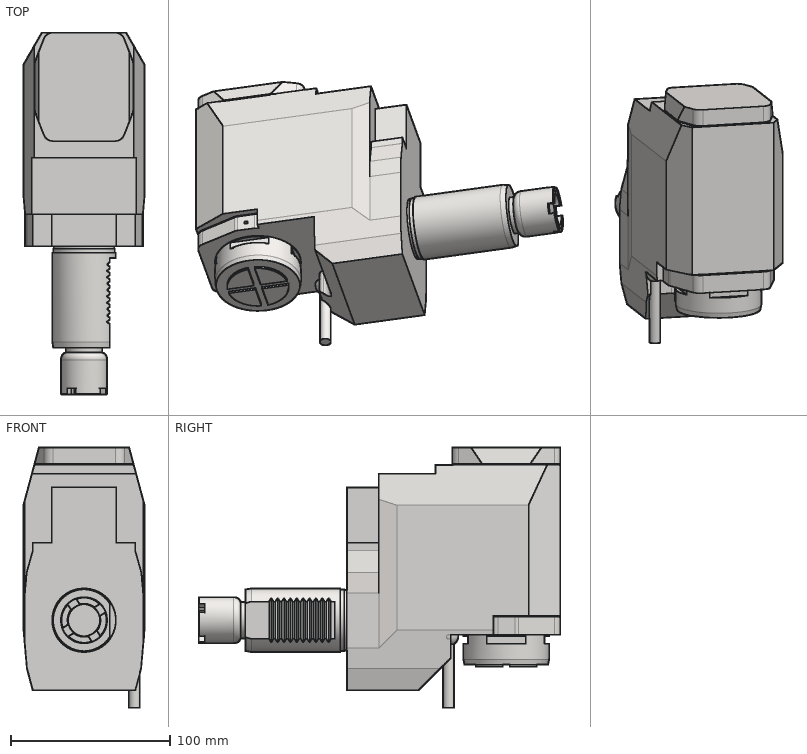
import cadquery as cq
import math


housing_half_width = 38.0
flank_angle = math.radians(15)
lower_flank_angle = math.radians(5)
top_z = 97.5
front_top_z = 92.0
shoulder_z = 72.3
lower_break_z = -6.0
lower_flank_z = -30.2
bottom_z = -44.0

rear_y = 134.0
step_y = 55.5
front_y = 20.0
rear_bottom_z = -9.25
rear_chamfer_angle = math.radians(30)
rear_chamfer_length = 20.0
front_taper_start_y = 31.3
underside_chamfer_y = 45.0

nose_half_width = housing_half_width - (front_taper_start_y - front_y) * math.tan(lower_flank_angle)
nose_top_z = 48.5
nose_top_half_width = 32.0
nose_straight_z = front_taper_start_y - front_y - lower_break_z
nose_block_width = 40.5
nose_block_top_z = 83.4

spindle_y = 100.0
cap_half_length = rear_y - spindle_y
cap_half_width = 34.4
cap_end_half_width = 23.7
cap_flat_half_length = 6.6
cap_end_radius = 6.0
cap_side_radius = 6.0
cap_top_z = 108.5
seat_gap = 0.6
seat_inset = 0.5
foot_top_z = 2.7
foot_front_y = 92.0
foot_hole_diameter = 2.1
foot_hole_depth = 5.0
foot_hole_z = -3.8

spindle_ring_diameter = 54.0
spindle_flat_width = 48.0
spindle_flat_top_z = -9.9
spindle_flat_bottom_z = -14.7
spindle_ring_bottom_z = -27.8
spindle_ring_chamfer_height = 3.4
spindle_ring_chamfer = 0.7
spindle_face_diameter = 38.7
spindle_tip_z = -29.2
spindle_slot_width = 4.2

tube_x = 31.5
tube_y = 63.75
tube_diameter = 7.0
tube_bottom_z = -55.0
ball_radius = 6.3
ball_z = -9.8
lug_end_y = 65.2
lug_round_radius = 3.2
lug_side_x = 18.0

shank_diameter = 40.0
shank_neck_diameter = 38.7
shank_neck_length = 4.0
shank_groove_diameter = 38.1
shank_groove_length = 1.5
shank_chamfer_start = 60.0
shank_length = 63.7
shank_flat_x = 16.2
shank_flat_start = 7.5
tooth_count = 10
tooth_pitch = 4.0
tooth_depth = 1.7
tooth_groove_width = 2.8
first_tooth_distance = 11.4

collar_diameter = 23.0
collar_end = 66.5
nut_shoulder_diameter = 25.6
nut_shoulder_start = 67.2
nut_round_diameter = 28.0
nut_round_position = 68.7
nut_diameter = 29.0
nut_start = 71.2
nut_end = 93.0
nut_bore_diameter = 20.0
nut_edge_chamfer = 0.4
nut_notch_count = 4
nut_notch_width = 6.4
nut_notch_depth = 3.8
nut_recess_depth = 4.3
nut_notch_angle = 33.0


def extrude_along_y(points, y_start, y_end):
    """Prism with an XZ outline between two Y positions."""
    outline = cq.Workplane("XZ", origin=(0, y_end, 0)).polyline(points).close()
    return outline.extrude(y_end - y_start)


def box_between(x_range, y_range, z_range):
    """Box given by its limits along each axis."""
    return cq.Workplane("XY").box(
        x_range[1] - x_range[0], y_range[1] - y_range[0], z_range[1] - z_range[0], centered=False
    ).translate((x_range[0], y_range[0], z_range[0]))


def mirrored_outline(right_side):
    """Closed outline from its +X half, listed from one end to the other."""
    return right_side + [(-x, z) for x, z in reversed(right_side)]


def flank_x(z):
    """Half-width on the upper 15 degree flank at height z."""
    return housing_half_width - (z - shoulder_z) * math.tan(flank_angle)


lower_flank_half_width = (
    housing_half_width - (lower_break_z - lower_flank_z) * math.tan(lower_flank_angle)
)
bottom_half_width = lower_flank_half_width - (lower_flank_z - bottom_z) * math.tan(flank_angle)

HOUSING_OUTLINE = mirrored_outline([
    (flank_x(top_z), top_z),
    (housing_half_width, shoulder_z),
    (housing_half_width, lower_break_z),
    (lower_flank_half_width, lower_flank_z),
    (bottom_half_width, bottom_z),
])


def make_lug_plan():
    """Plan region behind the lower block, kept to carry the coolant tube on the +X side."""
    hollow_radius = lug_end_y - lug_round_radius - step_y
    hollow_y = step_y + hollow_radius
    diagonal = math.sqrt(0.5)
    return (
        cq.Workplane("XY", origin=(0, 0, bottom_z))
        .moveTo(lug_side_x - hollow_radius, step_y)
        .threePointArc(
            (lug_side_x - hollow_radius * (1 - diagonal), hollow_y - hollow_radius * diagonal),
            (lug_side_x, hollow_y),
        )
        .threePointArc(
            (lug_side_x + lug_round_radius * (1 - diagonal), hollow_y + lug_round_radius * diagonal),
            (lug_side_x + lug_round_radius, lug_end_y),
        )
        .lineTo(housing_half_width, lug_end_y)
        .lineTo(housing_half_width, step_y)
        .close()
        .extrude(rear_bottom_z - bottom_z)
    )


def make_housing():
    """Main body with its top step, rear corner chamfers, lower block and tube lug."""
    wide = (-housing_half_width, housing_half_width)
    housing = extrude_along_y(HOUSING_OUTLINE, front_y, rear_y)
    housing = housing.cut(box_between(wide, (front_y, step_y), (front_top_z, top_z)))
    rear_space = box_between(wide, (step_y, rear_y), (bottom_z, rear_bottom_z))
    housing = housing.cut(rear_space.cut(make_lug_plan()))
    housing = housing.cut(box_between(wide, (foot_front_y, rear_y), (rear_bottom_z, foot_top_z)))

    rear_half_width = housing_half_width - rear_chamfer_length * math.tan(rear_chamfer_angle)
    plan_points = mirrored_outline([
        (nose_half_width, front_y),
        (housing_half_width, front_taper_start_y),
        (housing_half_width, rear_y - rear_chamfer_length),
        (rear_half_width, rear_y),
    ])
    plan = cq.Workplane("XY", origin=(0, 0, bottom_z)).polyline(plan_points).close()
    housing = housing.intersect(plan.extrude(top_z - bottom_z))

    chamfer_rise = rear_bottom_z - bottom_z
    underside_wedge = (
        cq.Workplane("YZ", origin=(-housing_half_width, 0, 0))
        .polyline([
            (underside_chamfer_y, bottom_z),
            (underside_chamfer_y + chamfer_rise, bottom_z),
            (underside_chamfer_y + chamfer_rise, rear_bottom_z),
        ])
        .close()
        .extrude(2 * housing_half_width)
    )
    return housing.cut(underside_wedge)


def make_nose():
    """Nose plate in front of the housing, symmetric in height up to its shoulders, with a raised block."""
    nose_flank_x = nose_half_width - (-lower_flank_z - nose_straight_z) * math.tan(lower_flank_angle)
    nose_points = mirrored_outline([
        (nose_top_half_width, nose_top_z),
        (nose_top_half_width, -bottom_z),
        (nose_flank_x, -lower_flank_z),
        (nose_half_width, nose_straight_z),
        (nose_half_width, -nose_straight_z),
        (nose_flank_x, lower_flank_z),
        (bottom_half_width, bottom_z),
    ])
    block_half = nose_block_width / 2
    block = box_between((-block_half, block_half), (0, front_y), (0, nose_block_top_z))
    return extrude_along_y(nose_points, 0, front_y).union(block)


def make_cap_prism(z_bottom, z_top, inset=0.0):
    """Rounded eight-sided prism around the spindle axis, optionally smaller by an inset."""
    half_width = cap_half_width - inset
    half_length = cap_half_length - inset
    side_points = [
        (cap_end_half_width - inset, half_length),
        (half_width, cap_flat_half_length),
        (half_width, -cap_flat_half_length),
        (cap_end_half_width - inset, -half_length),
    ]
    prism = (
        cq.Workplane("XY", origin=(0, spindle_y, z_bottom))
        .polyline(mirrored_outline(side_points))
        .close()
        .extrude(z_top - z_bottom)
    )
    prism = prism.faces("<Y or >Y").edges("|Z").fillet(cap_end_radius)
    return prism.faces("<X or >X").edges("|Z").fillet(cap_side_radius)


def make_flank_envelope(inset=0.0):
    """Space above the housing between its extended flanks."""
    points = mirrored_outline([
        (flank_x(cap_top_z) - inset, cap_top_z),
        (flank_x(top_z) - inset, top_z),
    ])
    return extrude_along_y(points, spindle_y - cap_half_length, rear_y)


def make_cap():
    """Top cap on its slightly smaller seat, both trimmed by the housing flanks."""
    seat_top_z = top_z + seat_gap
    cap = make_cap_prism(seat_top_z, cap_top_z).intersect(make_flank_envelope())
    seat = make_cap_prism(top_z, seat_top_z, seat_inset).intersect(make_flank_envelope(seat_inset))
    return cap.union(seat)


def make_foot():
    """Foot under its slightly smaller seat, with a small hole in the -X side."""
    seat_bottom_z = foot_top_z - seat_gap
    foot = make_cap_prism(rear_bottom_z, seat_bottom_z)
    foot = foot.union(make_cap_prism(seat_bottom_z, foot_top_z, seat_inset))
    hole = (
        cq.Workplane("YZ", origin=(-cap_half_width, spindle_y, foot_hole_z))
        .circle(foot_hole_diameter / 2)
        .extrude(foot_hole_depth)
    )
    return foot.cut(hole)


def make_spindle():
    """Round spindle nose with four wrench flats and a slotted end face."""
    ring = (
        cq.Workplane("XY", origin=(0, spindle_y, spindle_ring_bottom_z))
        .circle(spindle_ring_diameter / 2)
        .extrude(rear_bottom_z - spindle_ring_bottom_z)
        .faces("<Z").chamfer(spindle_ring_chamfer_height, spindle_ring_chamfer)
    )
    flat_space = (
        cq.Workplane("XY", origin=(0, spindle_y, spindle_flat_bottom_z))
        .circle(spindle_ring_diameter / 2)
        .extrude(spindle_flat_top_z - spindle_flat_bottom_z)
    )
    square = (
        cq.Workplane("XY", origin=(0, spindle_y, spindle_flat_bottom_z))
        .rect(spindle_flat_width, spindle_flat_width)
        .extrude(spindle_flat_top_z - spindle_flat_bottom_z)
    )
    ring = ring.cut(flat_space.cut(square))
    tip_height = spindle_ring_bottom_z - spindle_tip_z
    tip_plane = cq.Workplane("XY", origin=(0, spindle_y, spindle_tip_z))
    tip = tip_plane.circle(spindle_face_diameter / 2).extrude(tip_height)
    for slot_size in [
        (spindle_face_diameter, spindle_slot_width),
        (spindle_slot_width, spindle_face_diameter),
    ]:
        tip = tip.cut(tip_plane.rect(*slot_size).extrude(tip_height))
    return ring.union(tip)


def make_coolant_tube():
    """Straight tube hanging from a ball nozzle under the housing."""
    tube = (
        cq.Workplane("XY", origin=(tube_x, tube_y, tube_bottom_z))
        .circle(tube_diameter / 2)
        .extrude(rear_bottom_z - tube_bottom_z)
    )
    ball = cq.Workplane("XY").sphere(ball_radius).translate((tube_x, tube_y, ball_z))
    return tube.union(ball)


def make_shank():
    """Shank and collet nut turned about the Y axis, with the rack cut in the +X side."""
    nut_radius = nut_diameter / 2
    profile = (
        cq.Workplane("XY")
        .lineTo(shank_groove_diameter / 2, 0)
        .lineTo(shank_groove_diameter / 2, -shank_groove_length)
        .lineTo(shank_neck_diameter / 2, -shank_groove_length)
        .lineTo(shank_neck_diameter / 2, -shank_neck_length)
        .lineTo(shank_diameter / 2, -shank_neck_length)
        .lineTo(shank_diameter / 2, -shank_chamfer_start)
        .lineTo(shank_neck_diameter / 2, -shank_length)
        .lineTo(collar_diameter / 2, -shank_length)
        .lineTo(collar_diameter / 2, -collar_end)
        .lineTo(nut_shoulder_diameter / 2, -nut_shoulder_start)
        .threePointArc((nut_round_diameter / 2, -nut_round_position), (nut_radius, -nut_start))
        .lineTo(nut_radius, -nut_end + nut_edge_chamfer)
        .lineTo(nut_radius - nut_edge_chamfer, -nut_end)
        .lineTo(0, -nut_end)
        .close()
    )
    shank = profile.revolve(360, (0, 0, 0), (0, 1, 0))

    shank_radius = shank_diameter / 2
    shank = shank.cut(box_between(
        (shank_flat_x, shank_radius),
        (-shank_length, -shank_flat_start),
        (-shank_radius, shank_radius),
    ))
    for index in range(tooth_count):
        root_y = -first_tooth_distance - index * tooth_pitch
        groove = (
            cq.Workplane("XY", origin=(0, 0, -shank_radius))
            .polyline([
                (shank_flat_x, root_y - tooth_groove_width / 2),
                (shank_flat_x, root_y + tooth_groove_width / 2),
                (shank_flat_x - tooth_depth, root_y),
            ])
            .close()
            .extrude(shank_diameter)
        )
        shank = shank.cut(groove)
    return cut_nut_face(shank)


def cut_nut_face(shank):
    """Recessed centre and the wrench notches in the collet nut's front face."""
    face_plane = cq.Workplane("XZ", origin=(0, -nut_end, 0))
    recess = (
        face_plane.circle(nut_bore_diameter / 2 + nut_edge_chamfer)
        .workplane(offset=-nut_edge_chamfer)
        .circle(nut_bore_diameter / 2)
        .loft()
    )
    recess = recess.union(face_plane.circle(nut_bore_diameter / 2).extrude(-nut_recess_depth))
    shank = shank.cut(recess)
    notch_length = nut_diameter / 2
    for index in range(nut_notch_count):
        angle = nut_notch_angle + index * 360 / nut_notch_count
        notch = (
            face_plane.center(notch_length / 2, 0)
            .rect(notch_length, nut_notch_width)
            .extrude(-nut_notch_depth)
            .rotate((0, 0, 0), (0, 1, 0), -angle)
        )
        shank = shank.cut(notch)
    return shank


result = make_housing()
for component in [
    make_nose(), make_cap(), make_foot(), make_spindle(), make_coolant_tube(), make_shank(),
]:
    result = result.union(component)